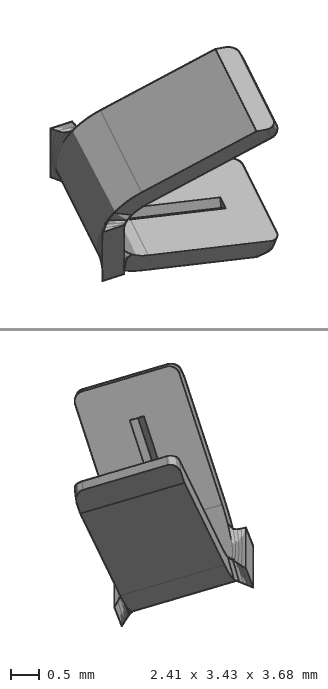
import cadquery as cq
import math

strip_width = 1.91
thickness = 0.405
outer_radius = 1.2
inner_radius = outer_radius - thickness
arm_angle = 18.0
overall_depth = 3.43
tip_face = 0.205
bevel_length = 0.342
tip_corner_radius = 0.18

overall_width = 2.41
tab_half_height = 0.715
fillet_reach = 0.173
fillet_steps = 3
outer_flare = 5.5
inner_flare = 10.0
tab_root_angle = math.degrees(math.asin(tab_half_height / outer_radius))

groove_width = 0.258
groove_far_end = 2.738

slope_sin = math.sin(math.radians(arm_angle))
slope_cos = math.cos(math.radians(arm_angle))
tip_along = (overall_depth - outer_radius + inner_radius * slope_sin) / slope_cos


def bend_point(radius, angle):
    """YZ point on the bend; angle is measured from the -Y direction."""
    a = math.radians(angle)
    return outer_radius - radius * math.cos(a), radius * math.sin(a)


def arm_point(along, radius):
    """YZ point on the upper arm; along starts at the bend tangent line."""
    y, z = bend_point(radius, 90 - arm_angle)
    return y + along * slope_cos, z + along * slope_sin


def mirror_z(point):
    return point[0], -point[1]


def make_strip():
    outer_start = arm_point(0, outer_radius)
    bevel_start = arm_point(tip_along - bevel_length, outer_radius)
    tip_outer = arm_point(tip_along, inner_radius + tip_face)
    tip_inner = arm_point(tip_along, inner_radius)
    inner_start = arm_point(0, inner_radius)
    strip = (
        cq.Workplane("YZ")
        .moveTo(*mirror_z(outer_start))
        .threePointArc(bend_point(outer_radius, 0), outer_start)
        .lineTo(*bevel_start)
        .lineTo(*tip_outer)
        .lineTo(*tip_inner)
        .lineTo(*inner_start)
        .threePointArc(bend_point(inner_radius, 0), mirror_z(inner_start))
        .lineTo(*mirror_z(tip_inner))
        .lineTo(*mirror_z(tip_outer))
        .lineTo(*mirror_z(bevel_start))
        .close()
        .extrude(strip_width / 2, both=True)
    )
    for side in (1, -1):
        middle = arm_point(tip_along, inner_radius + tip_face / 2)
        for x in (strip_width / 2, -strip_width / 2):
            corner = cq.selectors.NearestToPointSelector((x, middle[0], side * middle[1]))
            strip = strip.edges(corner).fillet(tip_corner_radius)
    return strip


def blend(start, end, fraction):
    return tuple(p + fraction * (q - p) for p, q in zip(start, end))


def make_tab():
    """Tab on the +X side: the bend cross-section morphs into a flat rectangle.

    Near the strip the sector opens wider, giving a concave fillet at each end.
    """
    tab_length = (overall_width - strip_width) / 2
    offsets = [fillet_reach * step / fillet_steps for step in range(fillet_steps + 1)]
    offsets.append(tab_length)
    wires = []
    for offset in offsets:
        fraction = offset / tab_length
        remaining = max(0, 1 - offset / fillet_reach)
        flare = 1 - math.sqrt(1 - remaining**2)
        outer_bend_end = bend_point(outer_radius, tab_root_angle + outer_flare * flare)
        inner_bend_end = bend_point(inner_radius, tab_root_angle + inner_flare * flare)
        outer_end = blend(outer_bend_end, (0, tab_half_height), fraction)
        inner_end = blend(inner_bend_end, (thickness, tab_half_height), fraction)
        section = cq.Workplane("YZ", origin=(strip_width / 2 + offset, 0, 0))
        section = section.moveTo(*mirror_z(outer_end))
        if offset < tab_length:
            section = (
                section.threePointArc((0, 0), outer_end)
                .lineTo(*inner_end)
                .threePointArc((thickness, 0), mirror_z(inner_end))
            )
        else:
            section = (
                section.lineTo(*outer_end)
                .lineTo(*inner_end)
                .lineTo(*mirror_z(inner_end))
            )
        wires.append(section.close().val())
    return cq.Workplane(cq.Solid.makeLoft(wires, True))


def make_groove():
    """V-shaped cutter for the upper arm, running from the bend tangent line."""
    start_y, start_z = arm_point(0, inner_radius)
    groove_length = (groove_far_end - start_y) / slope_cos
    start_plane = cq.Plane(
        origin=(0, start_y, start_z), xDir=(-1, 0, 0), normal=(0, slope_cos, slope_sin)
    )
    return (
        cq.Workplane(start_plane)
        .moveTo(-groove_width / 2, 0)
        .lineTo(groove_width / 2, 0)
        .lineTo(0, groove_width / 2)
        .close()
        .extrude(groove_length)
    )


tab = make_tab()
groove = make_groove()
body = make_strip().union(tab).union(tab.mirror("YZ"))
result = body.cut(groove).cut(groove.mirror("XY"))